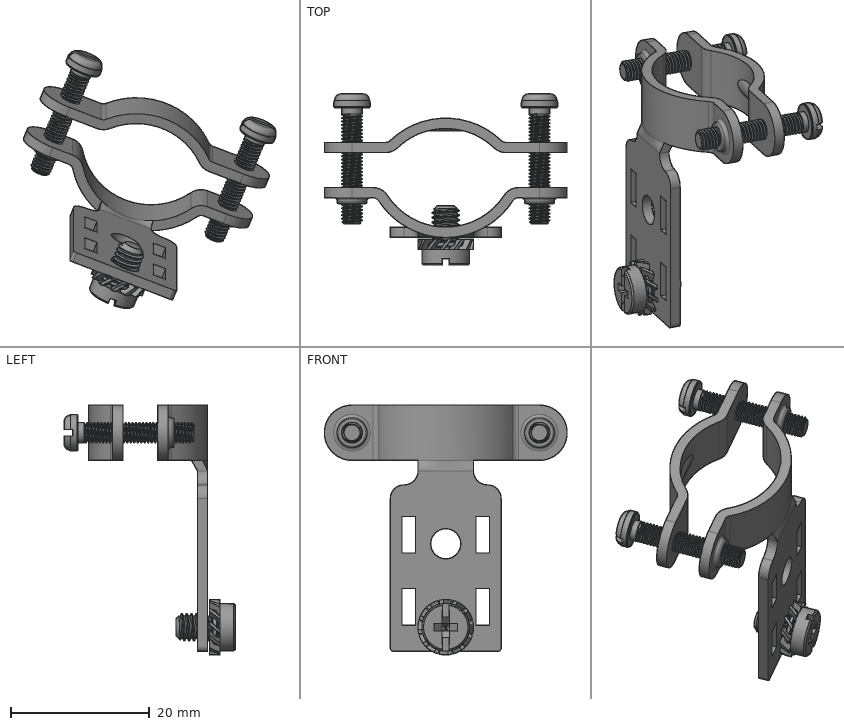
import cadquery as cq
import math

SHEET = 1.5

CLAMP_LENGTH = 35.0
BAND_HEIGHT = 8.0
BORE_RADIUS = 10.0
ARC_RADIUS = BORE_RADIUS + SHEET
BEND_RADIUS = 1.0
EAR_RADIUS = BAND_HEIGHT / 2
EAR_X = CLAMP_LENGTH / 2 - EAR_RADIUS
FRONT_ARC_Y = ARC_RADIUS
FRONT_EAR_Y = 5.7
REAR_EAR_Y = 12.2
REAR_ARC_Y = 5.7

DENT_RADIUS = 2.3
DENT_DEPTH = 0.4

COLLAR_RADIUS = 2.15
COLLAR_FLARE = 0.5
COLLAR_HEIGHT = 0.85
COLLAR_EDGE = 0.2

NECK_WIDTH = 8.0
PLATE_WIDTH = 16.0
NECK_TOP = -9.5
SHOULDER_RADIUS = 2.0
PLATE_BOTTOM = -35.5
PLATE_CORNER = 0.5
HOLE_DIAMETER = 4.3
CENTRE_HOLE_Z = -20.0
SLOT_X = 5.33
SLOT_WIDTH = 1.9
SLOT_HEIGHT = 5.25
SLOT_LEVELS = (-18.7, -29.1)

CLAMP_SCREW_RADIUS = 1.5
CLAMP_SCREW_PITCH = 0.5
CLAMP_SCREW_TIP_Y = 1.95
CLAMP_SHANK = 16.7
CLAMP_PLAIN_SHANK = 0.85
CLAMP_TIP_CHAMFER = 0.35
CLAMP_HEAD_RADIUS = 2.65
CLAMP_HEAD_STEP = 0.1
CLAMP_HEAD_RIM = 1.1
CLAMP_HEAD_HEIGHT = 2.05
CLAMP_HEAD_CHAMFER = 0.2
CLAMP_DOME_RADIUS = CLAMP_HEAD_HEIGHT - CLAMP_HEAD_RIM
CLAMP_SLOT_WIDTH = 0.9
CLAMP_SLOT_DEPTH = 1.25

PLATE_SCREW_Z = -32.02
PLATE_SCREW_RADIUS = 2.0
PLATE_SCREW_PITCH = 0.7
PLATE_SCREW_TIP_Y = 4.6
PLATE_TIP_CHAMFER = 0.8
PLATE_HEAD_RADIUS = 3.45
PLATE_HEAD_CHAMFER = 0.25
PLATE_HEAD_Y = -4.0
PLATE_SLOT_WIDTH = 0.95
PLATE_SLOT_DEPTH = 0.9
CROSS_SPAN_X = 3.45
CROSS_SPAN_Z = 4.8
CROSS_WIDTH = 1.05
CROSS_DEPTH = 2.3

WASHER_GAP = 0.25
WASHER_THICKNESS = 1.5
WASHER_RADIUS = 4.0
WASHER_BORE_RADIUS = 2.1
WASHER_RING_RADIUS = 3.0
WASHER_RING_THICKNESS = 0.5
TOOTH_COUNT = 12
TOOTH_THICKNESS = 0.45
TOOTH_TWIST = 50.0

THREAD_DEPTH_RATIO = 0.54
THREAD_CREST_RATIO = 0.125
THREAD_ROOT_RATIO = 0.75
THREAD_OVERLAP = 0.05


def strap(arc_y, ear_front_y, side):
    """Strap whose arc bulges toward +Y (side = 1) or -Y (side = -1), with rounded ears."""
    ear_near = side * (ear_front_y - arc_y)
    if side < 0:
        ear_near -= SHEET
    ear_far = ear_near + SHEET
    bend_y = ear_far + BEND_RADIUS
    bend_distance = ARC_RADIUS + BEND_RADIUS
    bend_x = math.sqrt(bend_distance**2 - bend_y**2)
    bend_angle = math.atan2(bend_y, bend_x)
    mid_angle = (bend_angle + math.pi / 2) / 2

    def on_arc(radius):
        return (radius * math.cos(bend_angle), radius * math.sin(bend_angle))

    def on_bend(radius):
        return (bend_x - radius * math.cos(mid_angle), bend_y - radius * math.sin(mid_angle))

    def mirrored(point):
        return (-point[0], point[1])

    end_x = CLAMP_LENGTH / 2
    outer_bend = BEND_RADIUS
    inner_bend = BEND_RADIUS + SHEET
    band = (
        cq.Workplane("XY")
        .moveTo(end_x, ear_far)
        .lineTo(bend_x, ear_far)
        .threePointArc(on_bend(outer_bend), on_arc(ARC_RADIUS))
        .threePointArc((0, ARC_RADIUS), mirrored(on_arc(ARC_RADIUS)))
        .threePointArc(mirrored(on_bend(outer_bend)), (-bend_x, ear_far))
        .lineTo(-end_x, ear_far)
        .lineTo(-end_x, ear_near)
        .lineTo(-bend_x, ear_near)
        .threePointArc(mirrored(on_bend(inner_bend)), mirrored(on_arc(BORE_RADIUS)))
        .threePointArc((0, BORE_RADIUS), on_arc(BORE_RADIUS))
        .threePointArc(on_bend(inner_bend), (bend_x, ear_near))
        .lineTo(end_x, ear_near)
        .close()
        .extrude(-BAND_HEIGHT)
    )
    if side < 0:
        band = band.mirror("XZ")
    ear_outline = (
        cq.Workplane("XZ")
        .center(0, -EAR_RADIUS)
        .slot2D(CLAMP_LENGTH, BAND_HEIGHT)
        .extrude(CLAMP_LENGTH, both=True)
    )
    return band.translate((0, arc_y, 0)).intersect(ear_outline)


def dent():
    """Cylinder along X that shows as a lens-shaped bulge inside the rear strap."""
    lowest_y = REAR_ARC_Y + BORE_RADIUS - DENT_DEPTH
    half_length = math.sqrt(BORE_RADIUS**2 - (BORE_RADIUS - DENT_DEPTH) ** 2)
    bulge = (
        cq.Workplane("YZ")
        .center(lowest_y + DENT_RADIUS, -EAR_RADIUS)
        .circle(DENT_RADIUS)
        .extrude(half_length, both=True)
    )
    arc_disc = (
        cq.Workplane("XY").center(0, REAR_ARC_Y).circle(BORE_RADIUS + SHEET / 2).extrude(-BAND_HEIGHT)
    )
    return bulge.intersect(arc_disc)


def collar(x):
    """Flared collar on the front face of a front ear."""
    bend_reach = COLLAR_FLARE * (1 - math.sqrt(0.5))
    profile = (
        cq.Workplane("XY")
        .lineTo(COLLAR_RADIUS + COLLAR_FLARE, 0)
        .threePointArc(
            (COLLAR_RADIUS + bend_reach, -bend_reach),
            (COLLAR_RADIUS, -COLLAR_FLARE),
        )
        .lineTo(COLLAR_RADIUS, -COLLAR_HEIGHT)
        .lineTo(0, -COLLAR_HEIGHT)
        .close()
    )
    flared = profile.revolve(360, (0, 0), (0, 1)).faces("<Y").edges().fillet(COLLAR_EDGE)
    return flared.translate((x, FRONT_EAR_Y, -EAR_RADIUS))


def neck():
    """Transition from the curved lower edge of the front strap to the flat plate."""
    half = NECK_WIDTH / 2

    def arc_y(radius):
        return FRONT_ARC_Y - math.sqrt(radius**2 - half**2)

    curved = (
        cq.Workplane("XY", origin=(0, 0, -BAND_HEIGHT))
        .moveTo(-half, arc_y(ARC_RADIUS))
        .threePointArc((0, 0), (half, arc_y(ARC_RADIUS)))
        .lineTo(half, arc_y(BORE_RADIUS))
        .threePointArc((0, SHEET), (-half, arc_y(BORE_RADIUS)))
        .close()
    )
    flat = (
        cq.Workplane("XY", origin=(0, 0, NECK_TOP))
        .moveTo(-half, 0)
        .lineTo(half, 0)
        .lineTo(half, SHEET)
        .lineTo(-half, SHEET)
        .close()
    )
    return cq.Workplane(cq.Solid.makeLoft([curved.val(), flat.val()], True))


def plate():
    """Flat plate with rounded shoulders, two screw holes and four slots."""
    neck_x = NECK_WIDTH / 2
    side_x = PLATE_WIDTH / 2
    shoulder_x = side_x - SHOULDER_RADIUS
    shoulder_z = NECK_TOP - SHOULDER_RADIUS
    sheet = (
        cq.Workplane("XZ")
        .moveTo(-neck_x, NECK_TOP)
        .lineTo(neck_x, NECK_TOP)
        .radiusArc((shoulder_x, shoulder_z), -SHOULDER_RADIUS)
        .radiusArc((side_x, shoulder_z - SHOULDER_RADIUS), SHOULDER_RADIUS)
        .lineTo(side_x, PLATE_BOTTOM)
        .lineTo(-side_x, PLATE_BOTTOM)
        .lineTo(-side_x, shoulder_z - SHOULDER_RADIUS)
        .radiusArc((-shoulder_x, shoulder_z), SHOULDER_RADIUS)
        .radiusArc((-neck_x, NECK_TOP), -SHOULDER_RADIUS)
        .close()
        .extrude(-SHEET)
        .edges("|Y and <Z")
        .fillet(PLATE_CORNER)
    )
    holes = (
        cq.Workplane("XZ")
        .pushPoints([(0, CENTRE_HOLE_Z), (0, PLATE_SCREW_Z)])
        .circle(HOLE_DIAMETER / 2)
        .extrude(-SHEET)
    )
    slots = (
        cq.Workplane("XZ")
        .pushPoints([(x, z) for x in (-SLOT_X, SLOT_X) for z in SLOT_LEVELS])
        .rect(SLOT_WIDTH, SLOT_HEIGHT)
        .extrude(-SHEET)
    )
    return sheet.cut(holes).cut(slots)


def threaded_shank(radius, pitch, length, plain_length, tip_chamfer):
    """Shank along Z with its chamfered tip at Z = 0 and a plain stretch at its upper end."""
    core_radius = radius - THREAD_DEPTH_RATIO * pitch
    root_radius = core_radius - THREAD_OVERLAP
    thread_end = length - plain_length
    half_root = THREAD_ROOT_RATIO * pitch / 2
    half_crest = THREAD_CREST_RATIO * pitch / 2
    path = cq.Wire.makeHelix(pitch, thread_end, core_radius)
    ridge = (
        cq.Workplane("XZ")
        .moveTo(root_radius, -half_root)
        .lineTo(radius, -half_crest)
        .lineTo(radius, half_crest)
        .lineTo(root_radius, half_root)
        .close()
        .sweep(cq.Workplane(path), isFrenet=True)
    )
    core = cq.Workplane("XY").circle(core_radius).extrude(length)
    envelope = cq.Workplane("XY").circle(radius + THREAD_OVERLAP).extrude(length)
    envelope = envelope.faces("<Z").chamfer(tip_chamfer + THREAD_OVERLAP)
    shank = core.union(ridge).intersect(envelope)
    if plain_length > 0:
        plain = cq.Workplane("XY", origin=(0, 0, thread_end)).circle(radius).extrude(plain_length)
        shank = shank.union(plain)
    return shank


def clamp_screw():
    """Slotted pan-head screw pointing toward -Y, on the plane X = 0."""
    shank = threaded_shank(
        CLAMP_SCREW_RADIUS, CLAMP_SCREW_PITCH, CLAMP_SHANK, CLAMP_PLAIN_SHANK, CLAMP_TIP_CHAMFER
    )
    rim = (
        cq.Workplane("XY", origin=(0, 0, CLAMP_SHANK))
        .circle(CLAMP_HEAD_RADIUS)
        .extrude(CLAMP_HEAD_RIM)
        .faces("<Z")
        .chamfer(CLAMP_HEAD_CHAMFER)
    )
    dome = (
        cq.Workplane("XY", origin=(0, 0, CLAMP_SHANK))
        .circle(CLAMP_HEAD_RADIUS - CLAMP_HEAD_STEP)
        .extrude(CLAMP_HEAD_HEIGHT)
        .faces(">Z")
        .edges()
        .fillet(CLAMP_DOME_RADIUS)
    )
    slot = (
        cq.Workplane("XY", origin=(0, 0, CLAMP_SHANK + CLAMP_HEAD_HEIGHT - CLAMP_SLOT_DEPTH))
        .rect(3 * CLAMP_HEAD_RADIUS, CLAMP_SLOT_WIDTH)
        .extrude(CLAMP_SLOT_DEPTH)
    )
    screw = shank.union(rim).union(dome).cut(slot)
    return screw.rotate((0, 0, 0), (1, 0, 0), -90).translate((0, CLAMP_SCREW_TIP_Y, -EAR_RADIUS))


def plate_screw():
    """Slotted cross-recess cheese-head screw pointing toward +Y."""
    bearing_y = -(WASHER_GAP + WASHER_THICKNESS)
    shank_length = PLATE_SCREW_TIP_Y - bearing_y
    head_height = bearing_y - PLATE_HEAD_Y
    top = shank_length + head_height
    shank = threaded_shank(PLATE_SCREW_RADIUS, PLATE_SCREW_PITCH, shank_length, 0, PLATE_TIP_CHAMFER)
    head = (
        cq.Workplane("XY", origin=(0, 0, shank_length))
        .circle(PLATE_HEAD_RADIUS)
        .extrude(head_height)
        .faces(">Z")
        .chamfer(PLATE_HEAD_CHAMFER)
    )
    slot = (
        cq.Workplane("XY", origin=(0, 0, top - PLATE_SLOT_DEPTH))
        .rect(PLATE_SLOT_WIDTH, 3 * PLATE_HEAD_RADIUS)
        .extrude(PLATE_SLOT_DEPTH)
    )
    screw = shank.union(head).cut(slot)
    for plane, span in (("XZ", CROSS_SPAN_X), ("YZ", CROSS_SPAN_Z)):
        arm = (
            cq.Workplane(plane)
            .moveTo(-span / 2, top)
            .lineTo(span / 2, top)
            .lineTo(0, top - CROSS_DEPTH)
            .close()
            .extrude(CROSS_WIDTH / 2, both=True)
        )
        screw = screw.cut(arm)
    return screw.rotate((0, 0, 0), (1, 0, 0), 90).translate((0, PLATE_SCREW_TIP_Y, PLATE_SCREW_Z))


def lock_washer():
    """External-tooth lock washer: a flat ring with twisted teeth around it."""
    half_thickness = WASHER_THICKNESS / 2
    root_radius = (WASHER_BORE_RADIUS + WASHER_RING_RADIUS) / 2
    washer = (
        cq.Workplane("XZ")
        .circle(WASHER_RING_RADIUS)
        .circle(WASHER_BORE_RADIUS)
        .extrude(WASHER_RING_THICKNESS / 2, both=True)
    )
    tooth_zone = (
        cq.Workplane("XZ").circle(WASHER_RADIUS).circle(root_radius).extrude(half_thickness, both=True)
    )
    tooth = (
        cq.Workplane("XY")
        .box(3 * WASHER_THICKNESS, TOOTH_THICKNESS, WASHER_RADIUS, centered=(True, True, False))
        .rotate((0, 0, 0), (0, 0, 1), TOOTH_TWIST)
        .intersect(tooth_zone)
    )
    for index in range(TOOTH_COUNT):
        angle = index * 360 / TOOTH_COUNT
        washer = washer.union(tooth.rotate((0, 0, 0), (0, 1, 0), angle))
    return washer.translate((0, -WASHER_GAP - half_thickness, PLATE_SCREW_Z))


clamp = strap(FRONT_ARC_Y, FRONT_EAR_Y, -1).union(neck()).union(plate())
clamp = clamp.union(strap(REAR_ARC_Y, REAR_EAR_Y, 1)).union(dent())
clamp_screw_shape = clamp_screw()
for ear_x in (-EAR_X, EAR_X):
    clamp = clamp.union(collar(ear_x))
    clamp = clamp.union(clamp_screw_shape.translate((ear_x, 0, 0)))

result = cq.Compound.makeCompound([clamp.val(), plate_screw().val(), lock_washer().val()])